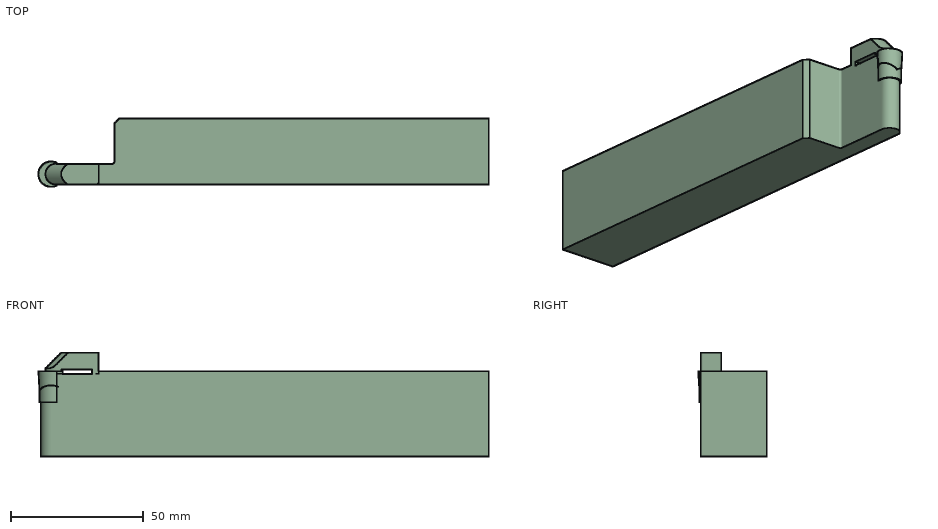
import cadquery as cq
import math

length = 170.0
shank_width = 25.0
shank_height = 32.3
shank_start = 28.7
shank_chamfer = 1.9
blade_width = 7.8
corner_fillet = 0.8

insert_diameter = 9.7
seat_diameter = 8.8
seat_base_height = 20.5
vee_bottom_height = 24.3
vee_slope = 30.0

clamp_top_height = 39.3
clamp_tip = 2.7
clamp_end = 22.8
clamp_nose_thickness = 1.0
clamp_slope = 45.0
clamp_crown_radius = 5.1
clamp_end_fillet = 0.8

gap_floor_height = 31.3
gap_roof_height = 32.8
gap_end = 20.2
lip_length = 6.1

insert_radius = insert_diameter / 2
seat_radius = seat_diameter / 2
half_blade = blade_width / 2
insert_x = insert_radius
blade_back_y = shank_width - half_blade
seat_edge_x = insert_x + math.sqrt(seat_radius**2 - half_blade**2)
clamp_nose_height = shank_height + clamp_nose_thickness


def box(x_range, y_range, z_range):
    """Box spanning the given (low, high) ranges."""
    (x0, x1), (y0, y1), (z0, z1) = x_range, y_range, z_range
    return cq.Workplane("XY").box(x1 - x0, y1 - y0, z1 - z0, centered=False).translate((x0, y0, z0))


def upright_cylinder(radius, bottom, top):
    """Vertical cylinder on the insert axis."""
    return cq.Workplane("XY", origin=(insert_x, 0, bottom)).circle(radius).extrude(top - bottom)


def round_nosed_bar(tip, end, bottom, top):
    """Bar as wide as the blade, with a full round at its tip."""
    return (
        cq.Workplane("XY", origin=(0, 0, bottom))
        .moveTo(end, -half_blade)
        .lineTo(tip + half_blade, -half_blade)
        .threePointArc((tip, 0), (tip + half_blade, half_blade))
        .lineTo(end, half_blade)
        .close()
        .extrude(top - bottom)
    )


def above_vee():
    """Region above the 120 degree vee that locates the insert; the vee runs along X."""
    rise = insert_diameter * math.tan(math.radians(vee_slope))
    return (
        cq.Workplane("YZ")
        .moveTo(0, vee_bottom_height)
        .lineTo(insert_diameter, vee_bottom_height + rise)
        .lineTo(insert_diameter, clamp_top_height)
        .lineTo(-insert_diameter, clamp_top_height)
        .lineTo(-insert_diameter, vee_bottom_height + rise)
        .close()
        .extrude(2 * insert_diameter)
    )


def make_insert():
    """Round insert: flared cutting head, straight round back, vee underside."""
    flared = (
        cq.Workplane("XY", origin=(insert_x, 0, vee_bottom_height))
        .circle(seat_radius)
        .workplane(offset=shank_height - vee_bottom_height)
        .circle(insert_radius)
        .loft(ruled=True)
    )
    head_zone = box((0, seat_edge_x), (-insert_radius, insert_radius), (0, shank_height))
    core = upright_cylinder(seat_radius, vee_bottom_height, shank_height)
    return core.union(flared.intersect(head_zone)).intersect(above_vee())


def make_shank():
    """Shank and thin blade in one plan outline."""
    blade_start = insert_x - half_blade
    blade = round_nosed_bar(blade_start, shank_start, 0, shank_height)
    shank = box((shank_start, length), (-half_blade, blade_back_y), (0, shank_height))
    shank = shank.edges("|Z and <X and >Y").chamfer(shank_chamfer)
    inner_corner = cq.selectors.NearestToPointSelector((shank_start, half_blade, shank_height / 2))
    return shank.union(blade).edges(inner_corner).fillet(corner_fillet)


def make_clamp():
    """Clamp arm with a crowned slope at the front and a foot at the back."""
    arm = round_nosed_bar(clamp_tip, clamp_end, gap_floor_height, clamp_top_height)
    arm = arm.edges("|Z and >X and <Y").fillet(clamp_end_fillet)

    angle = math.radians(clamp_slope)
    slope_plane = cq.Plane(
        origin=(
            clamp_tip + clamp_crown_radius * math.sin(angle),
            0,
            clamp_nose_height - clamp_crown_radius * math.cos(angle),
        ),
        xDir=(0, 1, 0),
        normal=(math.cos(angle), 0, math.sin(angle)),
    )
    crown = (
        cq.Workplane(slope_plane)
        .moveTo(-clamp_crown_radius, 0)
        .threePointArc((0, clamp_crown_radius), (clamp_crown_radius, 0))
        .lineTo(clamp_crown_radius, -clamp_top_height)
        .lineTo(-clamp_crown_radius, -clamp_top_height)
        .close()
        .extrude(clamp_top_height, both=True)
    )
    arm = arm.intersect(crown)

    lip_end = clamp_tip + lip_length
    across = (-half_blade, half_blade)
    under_lip = box((0, lip_end), across, (gap_floor_height, shank_height))
    gap = box((lip_end, gap_end), across, (gap_floor_height, gap_roof_height))
    return arm.cut(under_lip).cut(gap)


def make_holder():
    """Shank, blade, insert seat and clamp arm as one solid."""
    across = (-half_blade, half_blade)
    recess = box((0, clamp_end), across, (gap_floor_height, shank_height))
    pocket = upright_cylinder(seat_radius, vee_bottom_height, shank_height).intersect(above_vee())
    nose = box((0, seat_edge_x), across, (vee_bottom_height, shank_height)).intersect(above_vee())
    seat = upright_cylinder(seat_radius, seat_base_height, shank_height).cut(above_vee())
    return make_shank().cut(recess).cut(nose).union(seat).cut(pocket).union(make_clamp())


insert = make_insert()
holder = make_holder()
result = cq.Compound.makeCompound([holder.val(), insert.val()])